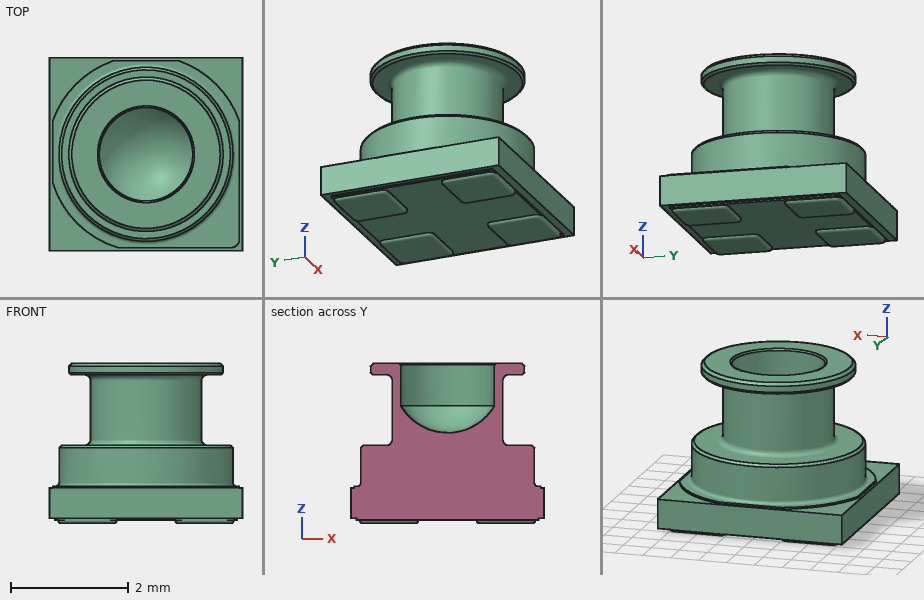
import cadquery as cq
import math

diagonal = math.sqrt(0.5)

base_width = 3.3
pad_drop = 0.085
base_bottom = pad_drop
base_top = 0.607

pad_width = 1.0
pad_pitch = 2 * pad_width
pad_corner_radius = 0.1
pad_edge_radius = 0.05
mask_thickness = 0.03
mask_length = 3.115
mask_width = pad_pitch + pad_width

sheet_thickness = 0.03
sheet_half = 1.597
sheet_top = base_top + sheet_thickness
upper_arc_radius = 1.693
lower_arc_radius = 1.665
sheet_corner_radius = 0.15

body_radius = 1.488
body_top = 1.335
body_foot_fillet = 0.06
body_chamfer = 0.045
neck_radius = 0.95
neck_fillet = 0.1
flange_radius = 1.32
flange_bottom = 2.538
flange_chamfer = 0.053
flange_lower_chamfer = 0.04
part_top = 2.74

bore_radius = 0.8
bore_chamfer = 0.03
bore_depth = 0.73
recess_depth = 0.46


def make_base():
    plate = cq.Workplane("XY").workplane(offset=base_bottom)
    return plate.rect(base_width, base_width).extrude(base_top - base_bottom)


def make_sheet():
    upper_end = math.sqrt(upper_arc_radius**2 - sheet_half**2)
    lower_end = math.sqrt(lower_arc_radius**2 - sheet_half**2)
    upper_mid = upper_arc_radius * diagonal
    lower_mid = lower_arc_radius * diagonal
    corner_start = sheet_half - sheet_corner_radius
    corner_mid = corner_start + sheet_corner_radius * diagonal
    return (
        cq.Workplane("XY")
        .workplane(offset=base_top)
        .moveTo(-upper_end, sheet_half)
        .lineTo(upper_end, sheet_half)
        .threePointArc((upper_mid, upper_mid), (sheet_half, upper_end))
        .lineTo(sheet_half, -corner_start)
        .threePointArc((corner_mid, -corner_mid), (corner_start, -sheet_half))
        .lineTo(-lower_end, -sheet_half)
        .threePointArc((-lower_mid, -lower_mid), (-sheet_half, -lower_end))
        .lineTo(-sheet_half, upper_end)
        .threePointArc((-upper_mid, upper_mid), (-upper_end, sheet_half))
        .close()
        .extrude(sheet_thickness)
    )


def make_housing():
    """Revolve the profile of the body, neck, flange and bore about Z."""
    foot_mid = body_foot_fillet * (1 - diagonal)
    neck_mid = neck_fillet * (1 - diagonal)
    bore_floor = part_top - bore_depth
    recess_bottom = bore_floor - recess_depth
    sphere_radius = (bore_radius**2 + recess_depth**2) / (2 * recess_depth)
    sphere_center = recess_bottom + sphere_radius
    recess_half_angle = math.asin(bore_radius / sphere_radius) / 2
    recess_mid = (
        sphere_radius * math.sin(recess_half_angle),
        sphere_center - sphere_radius * math.cos(recess_half_angle),
    )
    return (
        cq.Workplane("XZ")
        .moveTo(0, base_top)
        .lineTo(body_radius + body_foot_fillet, base_top)
        .lineTo(body_radius + body_foot_fillet, sheet_top)
        .threePointArc(
            (body_radius + foot_mid, sheet_top + foot_mid),
            (body_radius, sheet_top + body_foot_fillet),
        )
        .lineTo(body_radius, body_top - body_chamfer)
        .lineTo(body_radius - body_chamfer, body_top)
        .lineTo(neck_radius + neck_fillet, body_top)
        .threePointArc(
            (neck_radius + neck_mid, body_top + neck_mid),
            (neck_radius, body_top + neck_fillet),
        )
        .lineTo(neck_radius, flange_bottom - neck_fillet)
        .threePointArc(
            (neck_radius + neck_mid, flange_bottom - neck_mid),
            (neck_radius + neck_fillet, flange_bottom),
        )
        .lineTo(flange_radius - flange_lower_chamfer, flange_bottom)
        .lineTo(flange_radius, flange_bottom + flange_lower_chamfer)
        .lineTo(flange_radius, part_top - flange_chamfer)
        .lineTo(flange_radius - flange_chamfer, part_top)
        .lineTo(bore_radius + bore_chamfer, part_top)
        .lineTo(bore_radius, part_top - bore_chamfer)
        .lineTo(bore_radius, bore_floor)
        .threePointArc(recess_mid, (0, recess_bottom))
        .close()
        .revolve(360, (0, 0, 0), (0, 1, 0))
    )


def make_mask():
    layer = cq.Workplane("XY").workplane(offset=base_bottom - mask_thickness)
    return layer.rect(mask_length, mask_width).extrude(mask_thickness)


def make_pads():
    return (
        cq.Workplane("XY")
        .rarray(pad_pitch, pad_pitch, 2, 2)
        .rect(pad_width, pad_width)
        .extrude(pad_drop)
        .edges("|Z")
        .fillet(pad_corner_radius)
        .faces("<Z")
        .edges()
        .fillet(pad_edge_radius)
    )


result = make_base().union(make_sheet()).union(make_housing())
result = result.union(make_mask()).union(make_pads())